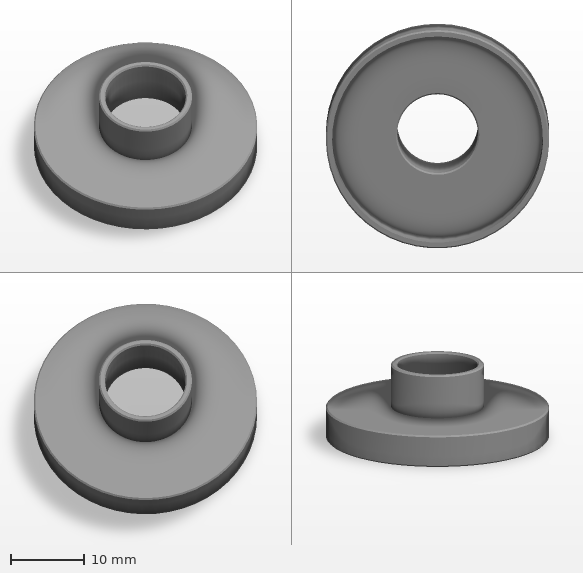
import cadquery as cq

flange_diameter = 30.5
flange_thickness = 4.45
total_height = 10.5
boss_diameter = 12.72
bore_diameter = 11.0
edge_chamfer = 0.2

wall = (boss_diameter - bore_diameter) / 2
recess_diameter = flange_diameter - 2 * wall
recess_depth = flange_thickness - wall

flange = (
    cq.Workplane("XY")
    .circle(flange_diameter / 2)
    .extrude(flange_thickness)
    .edges()
    .chamfer(edge_chamfer)
)

boss = (
    cq.Workplane("XY")
    .circle(boss_diameter / 2)
    .extrude(total_height)
    .faces(">Z")
    .edges()
    .chamfer(edge_chamfer)
)

recess = cq.Workplane("XY").circle(recess_diameter / 2).extrude(recess_depth)

bore = cq.Workplane("XY").circle(bore_diameter / 2).extrude(total_height)

hollow_body = flange.union(boss).cut(recess).cut(bore)
bore_mouths = cq.selectors.RadiusNthSelector(0)
result = hollow_body.edges("%CIRCLE").edges(bore_mouths).chamfer(edge_chamfer)